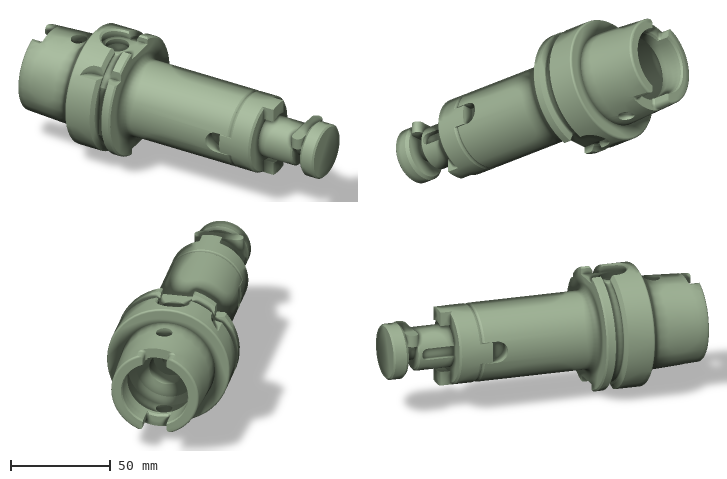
import cadquery as cq
import math


flange_start = 32.0
taper_end_radius = 22.5
taper_base_radius = 24.1
taper_rounding = 1.2
bore_mouth_radius = 17.3
bore_radius = 16.8
bore_mouth_bevel_length = 1.2
bore_straight_depth = 13.2
bore_undercut_radius = 19.8
bore_undercut_end = 27.2
bore_floor_radius = 15.8
bore_floor_depth = 28.9
tube_thread_radius = 8.9
tube_thread_depth = 9.9
coolant_hole_radius = 4.3
end_notch_width = 12.2
end_notch_depths = {1: 6.3, -1: 10.0}
end_notch_shelf_height = 20.6
end_notch_shelf_width = 23.1
end_notch_rounding = 2.0
end_notch_corner_radius = 1.2
end_notch_bevel_radius = 17.7
cross_hole_radius = 4.1
cross_hole_x = 22.8

flange_radius = 31.5
flange_end = 57.8
flange_rounding = 1.0
flange_end_chamfer = 0.8
groove_radius = 27.5
groove_start = 47.8
groove_end = 51.6
groove_bevel_run = 1.5
groove_bevel_rise = groove_bevel_run * math.tan(math.radians(60))
groove_flat_distance = 24.0
groove_flat_tilt = 3.6
drive_slot_width = 16.2
drive_slot_floor = 26.5
drive_slot_centre_x = 44.9
drive_slot_chamfer = 1.0
chip_hole_radius = 6.0
chip_hole_depth = 2.8
mark_notch_offset = 19.6
mark_notch_end_radius = 7.5
mark_notch_centre_x = 43.9

body_radius = 20.0
body_fillet = 3.0
shoulder_x = 119.6
shoulder_chamfer_run = 1.2
shoulder_chamfer_rise = 0.7
pilot_radius = 11.0
pilot_end = 150.8
pilot_chamfer = 0.8
tongue_slot_width = 11.2
tongue_slot_centre_x = 112.0

ring_bore_radius = 13.2
ring_face_x = 131.8
ring_rear_chamfer_run = 1.5
ring_front_chamfer = 1.0
lug_width = 10.2
lug_end_x = 137.3
tongue_start_x = 114.3

key_width = 6.0
key_height = 6.0
key_length = 25.0
key_seat_depth = 3.5
key_seat_end_x = 149.0

screw_radius = 5.3
screw_tip_x = 102.3
head_seat_x = 156.8
screw_relief_radius = 5.0
screw_relief_x = 155.5
head_seat_radius = 12.9
head_rim_x = 158.2
head_radius = 14.2
head_end_x = 165.0
head_chamfer = 0.8


def turned(points):
    """Solid of revolution about X from (x, radius) outline points."""
    return cq.Workplane("XY").polyline(points).close().revolve(360, (0, 0, 0), (1, 0, 0))


def bar(start_x, end_x, radius):
    """Cylinder lying on the X axis."""
    return cq.Workplane("YZ", origin=(start_x, 0, 0)).circle(radius).extrude(end_x - start_x)


def block(start_x, end_x, y_range, z_range):
    """Axis-aligned block between pairs of limits."""
    size = (end_x - start_x, y_range[1] - y_range[0], z_range[1] - z_range[0])
    return cq.Workplane("XY").box(*size, centered=False).translate((start_x, y_range[0], z_range[0]))


def round_ended_slot(centre_x, end_x, width, height):
    """Upright prism with a half-round end about centre_x, running straight to end_x."""
    run = end_x - centre_x
    half = width / 2
    outline = (
        cq.Workplane("XY")
        .moveTo(centre_x, half)
        .threePointArc((centre_x - half, 0), (centre_x, -half))
        .lineTo(centre_x + run, -half)
        .lineTo(centre_x + run, half)
        .close()
    )
    return outline.extrude(height)


def make_shank():
    shank = turned([
        (0, 0),
        (0, taper_end_radius),
        (flange_start, taper_base_radius),
        (flange_start, 0),
    ])
    shank = shank.faces("<X").edges().fillet(taper_rounding)
    for side, depth in end_notch_depths.items():
        notch = make_end_notch(depth)
        if side < 0:
            notch = notch.rotate((0, 0, 0), (1, 0, 0), 180)
        shank = shank.cut(notch)
    return shank


def make_end_notch(depth):
    """Cutter for a drive notch: a slot whose upper edges round over into a flat shelf on each side.

    A bevel breaks the edge where the notch floor meets the bore.
    """
    half = end_notch_width / 2
    shelf_half = end_notch_shelf_width / 2
    shelf = end_notch_shelf_height
    arc_start = shelf - end_notch_rounding
    arc_end = half + end_notch_rounding
    arc_inset = end_notch_rounding * (1 - math.sqrt(0.5))
    outline = (
        cq.Workplane("YZ")
        .moveTo(-half, 0)
        .lineTo(half, 0)
        .lineTo(half, arc_start)
        .threePointArc((half + arc_inset, shelf - arc_inset), (arc_end, shelf))
        .lineTo(shelf_half, shelf)
        .lineTo(shelf_half, flange_radius)
        .lineTo(-shelf_half, flange_radius)
        .lineTo(-shelf_half, shelf)
        .lineTo(-arc_end, shelf)
        .threePointArc((-half - arc_inset, shelf - arc_inset), (-half, arc_start))
        .close()
    )
    notch = outline.extrude(depth).faces(">X").edges().fillet(end_notch_corner_radius)
    bevel_end = depth + bore_mouth_bevel_length
    bevel = turned([
        (depth, 0),
        (depth, end_notch_bevel_radius),
        (bevel_end, bore_radius),
        (bevel_end, 0),
    ])
    slot_side = block(depth, bevel_end, (-half, half), (0, flange_radius))
    return notch.union(bevel.intersect(slot_side))


def make_flange():
    flange = turned([
        (flange_start, 0),
        (flange_start, flange_radius),
        (flange_end - flange_end_chamfer, flange_radius),
        (flange_end, flange_radius - flange_end_chamfer),
        (flange_end, 0),
    ])
    flange = flange.faces("<X").edges().fillet(flange_rounding)
    slot = round_ended_slot(drive_slot_centre_x, flange_end, drive_slot_width, flange_radius)
    slot = slot.translate((0, 0, drive_slot_floor))
    flange = flange.cut(slot)
    half = drive_slot_width / 2
    slot_rim = cq.selectors.BoxSelector(
        (flange_start + flange_rounding, -half - 0.2, (drive_slot_floor + flange_radius) / 2),
        (flange_end - flange_end_chamfer, half + 0.2, flange_radius + 0.2),
    )
    flange = flange.edges(slot_rim).chamfer(drive_slot_chamfer)
    flange = flange.cut(slot.rotate((0, 0, 0), (1, 0, 0), 180))
    return flange.cut(make_groove()).cut(make_mark_notch())


def make_groove():
    """Ring-shaped cutter for the gripper groove, with one flat left on its floor."""
    bevel_radius = flange_radius - groove_bevel_rise
    cutter = turned([
        (groove_start, groove_radius),
        (groove_start, bevel_radius),
        (groove_start - groove_bevel_run, flange_radius),
        (groove_end + groove_bevel_run, flange_radius),
        (groove_end, bevel_radius),
        (groove_end, groove_radius),
    ])
    flat = block(
        groove_start, groove_end,
        (-flange_radius, -groove_flat_distance), (-flange_radius, flange_radius),
    )
    flat = flat.intersect(bar(groove_start, groove_end, groove_radius))
    return cutter.union(flat.rotate((0, 0, 0), (1, 0, 0), -groove_flat_tilt))


def make_mark_notch():
    """Corner notch on the -Y, +Z side, with a quarter-round end."""
    reach = flange_radius
    centre_y = -mark_notch_offset - mark_notch_end_radius
    round_end = (
        cq.Workplane("XY", origin=(mark_notch_centre_x, centre_y, mark_notch_offset))
        .circle(mark_notch_end_radius)
        .extrude(reach)
    )
    run = block(
        mark_notch_centre_x, flange_end,
        (-reach, -mark_notch_offset), (mark_notch_offset, reach),
    )
    return run.union(round_end)


def make_body():
    chamfer_start = shoulder_x - shoulder_chamfer_run
    pilot_chamfer_start = pilot_end - pilot_chamfer
    fillet_radius = body_radius + body_fillet
    fillet_mid = body_fillet * (1 - math.sqrt(0.5))
    return (
        cq.Workplane("XY")
        .moveTo(flange_end, 0)
        .lineTo(flange_end, fillet_radius)
        .threePointArc(
            (flange_end + fillet_mid, body_radius + fillet_mid),
            (flange_end + body_fillet, body_radius),
        )
        .lineTo(chamfer_start, body_radius)
        .lineTo(shoulder_x, body_radius - shoulder_chamfer_rise)
        .lineTo(shoulder_x, ring_bore_radius)
        .lineTo(ring_face_x, ring_bore_radius)
        .lineTo(ring_face_x, pilot_radius)
        .lineTo(pilot_chamfer_start, pilot_radius)
        .lineTo(pilot_end, pilot_radius - pilot_chamfer)
        .lineTo(pilot_end, 0)
        .close()
        .revolve(360, (0, 0, 0), (1, 0, 0))
    )


def make_tongue_slots():
    """Cutters for the two body slots that take the ring tongues, on +Y and -Y."""
    depth = body_radius - ring_bore_radius
    slot = round_ended_slot(tongue_slot_centre_x, shoulder_x, tongue_slot_width, depth)
    slot = slot.translate((0, 0, ring_bore_radius))
    return [slot.rotate((0, 0, 0), (1, 0, 0), angle) for angle in (90, -90)]


def make_shank_bore():
    thread_end = bore_floor_depth + tube_thread_depth
    return turned([
        (0, 0),
        (0, bore_mouth_radius),
        (bore_mouth_bevel_length, bore_radius),
        (bore_straight_depth, bore_radius),
        (bore_straight_depth, bore_undercut_radius),
        (bore_undercut_end, bore_undercut_radius),
        (bore_floor_depth, bore_floor_radius),
        (bore_floor_depth, tube_thread_radius),
        (thread_end, tube_thread_radius),
        (thread_end, coolant_hole_radius),
        (screw_tip_x, coolant_hole_radius),
        (screw_tip_x, screw_radius),
        (pilot_end, screw_radius),
        (pilot_end, 0),
    ])


def make_holder():
    holder = make_shank().union(make_flange()).union(make_body())
    holder = holder.cut(make_shank_bore())
    for slot in make_tongue_slots():
        holder = holder.cut(slot)
    cross_hole = (
        cq.Workplane("XY", origin=(cross_hole_x, 0, -flange_radius))
        .circle(cross_hole_radius)
        .extrude(2 * flange_radius)
    )
    chip_hole = (
        cq.Workplane("XY", origin=(drive_slot_centre_x, 0, drive_slot_floor - chip_hole_depth))
        .circle(chip_hole_radius)
        .extrude(chip_hole_depth)
    )
    key_seat = (
        cq.Workplane("XZ", origin=(key_seat_end_x - key_length / 2, pilot_radius, 0))
        .slot2D(key_length, key_width)
        .extrude(key_seat_depth)
    )
    return holder.cut(cross_hole).cut(chip_hole).cut(key_seat)


def make_drive_ring():
    ring = turned([
        (shoulder_x, ring_bore_radius),
        (shoulder_x, body_radius - shoulder_chamfer_rise),
        (shoulder_x + ring_rear_chamfer_run, body_radius),
        (ring_face_x - ring_front_chamfer, body_radius),
        (ring_face_x, body_radius - ring_front_chamfer),
        (ring_face_x, ring_bore_radius),
    ])
    half = lug_width / 2
    tube = bar(tongue_start_x, lug_end_x, body_radius)
    tube = tube.cut(bar(tongue_start_x, lug_end_x, ring_bore_radius))
    lugs = block(
        ring_face_x - ring_front_chamfer, lug_end_x,
        (-half, half), (-body_radius, body_radius),
    )
    tongues = block(
        tongue_start_x, shoulder_x + ring_rear_chamfer_run,
        (-body_radius, body_radius), (-half, half),
    )
    return ring.union(tube.intersect(lugs)).union(tube.intersect(tongues))


def make_key():
    """Feather key resting crosswise on the screw shank."""
    return (
        cq.Workplane("XY", origin=(head_seat_x - key_width / 2, 0, screw_radius))
        .slot2D(key_length, key_width, 90)
        .extrude(key_height)
    )


def make_screw():
    return turned([
        (screw_tip_x, 0),
        (screw_tip_x, screw_radius),
        (screw_relief_x, screw_radius),
        (head_seat_x, screw_relief_radius),
        (head_seat_x, head_seat_radius),
        (head_rim_x, head_radius),
        (head_end_x - head_chamfer, head_radius),
        (head_end_x, head_radius - head_chamfer),
        (head_end_x, 0),
    ])


holder = make_holder()
drive_ring = make_drive_ring()
key = make_key()
screw = make_screw()
result = cq.Compound.makeCompound([holder.val(), drive_ring.val(), key.val(), screw.val()])